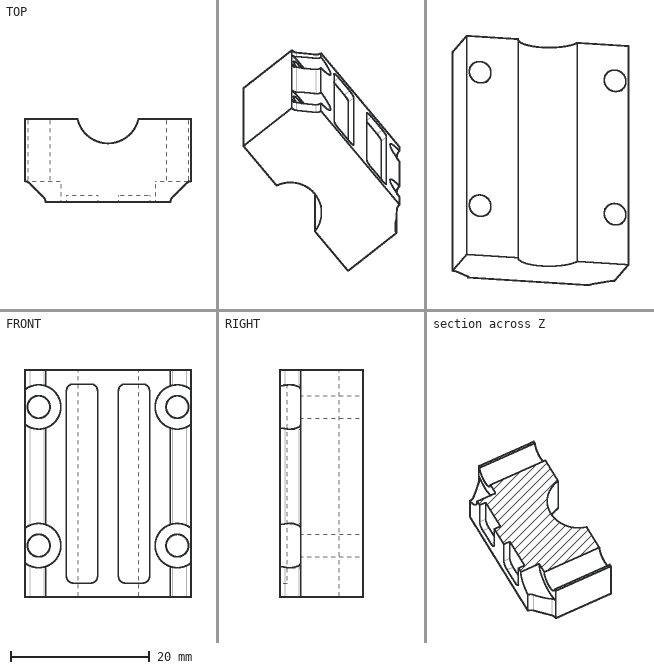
import cadquery as cq
import math

width = 24.0
depth = 12.0
height = 32.8
front = -depth / 2
back = depth / 2

relief = 3.0
relief_radius = 1.0

channel_radius = 4.5
channel_depth = 3.5

hole_diameter = 3.2
bore_diameter = 6.4
bore_depth = relief
hole_spacing_x = 20.0
hole_spacing_z = 20.0
hole_shift_z = 1.05

pocket_width = 4.5
pocket_height = 28.73
pocket_spacing = 7.5
pocket_corner = 1.0
pocket_depth = 1.0


def edge_relief():
    """Cutter for the front edge at +X: a slope with concave quarter-turn blends."""
    side = width / 2
    inner = side - relief
    floor = front + relief
    r = relief_radius
    near = r * (1 - math.cos(math.pi / 4))
    far = r * math.sin(math.pi / 4)
    near_half = r * (1 - math.cos(math.pi / 8))
    far_half = r * math.sin(math.pi / 8)
    return (
        cq.Workplane("XY")
        .workplane(offset=-height / 2)
        .moveTo(side, front)
        .lineTo(inner, front)
        .threePointArc((inner + near_half, front + far_half), (inner + near, front + far))
        .lineTo(side - far, floor - near)
        .threePointArc((side - far_half, floor - near_half), (side, floor))
        .close()
        .extrude(height)
    )


def channel():
    """Cylinder that leaves a full-height channel in the back face."""
    return (
        cq.Workplane("XY")
        .center(0, back + channel_radius - channel_depth)
        .circle(channel_radius)
        .extrude(height / 2, both=True)
    )


def front_plane():
    """Workplane on the front face, with local x along X and local y along Z."""
    return cq.Workplane("XZ", origin=(0, front, 0))


def front_cylinders(diameter, length):
    """Four cylinders at the screw positions, running inward from the front face."""
    return (
        front_plane()
        .center(0, hole_shift_z)
        .rect(hole_spacing_x, hole_spacing_z, forConstruction=True)
        .vertices()
        .circle(diameter / 2)
        .extrude(-length)
    )


def pockets():
    """Two tall round-cornered pockets side by side."""
    return (
        front_plane()
        .pushPoints([(-pocket_spacing / 2, 0), (pocket_spacing / 2, 0)])
        .rect(pocket_width, pocket_height)
        .extrude(-pocket_depth)
        .edges("|Y")
        .fillet(pocket_corner)
    )


relief_cutter = edge_relief()

result = (
    cq.Workplane("XY")
    .box(width, depth, height)
    .cut(relief_cutter)
    .cut(relief_cutter.mirror("YZ"))
    .cut(channel())
    .cut(front_cylinders(bore_diameter, bore_depth))
    .cut(front_cylinders(hole_diameter, depth))
    .cut(pockets())
)